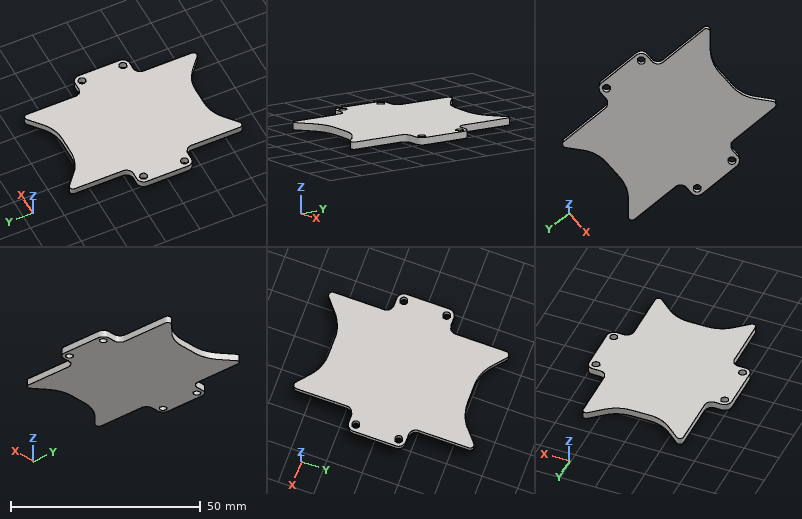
import cadquery as cq
import math

length = 50.6
width = 41.0
thickness = 2.0

body_width = 28.85
tab_length = 16.1
tab_radius = 2.0

floor_spacing = 39.15
slope_angle = math.radians(40.5)
blend_radius = 10.1
tip_radius = 1.0

hole_diameter = 2.0
hole_spacing_x = 36.95
hole_spacing_y = 12.05

half_body = body_width / 2
tip_rise = tip_radius * (1 + math.sin(slope_angle)) / math.cos(slope_angle)
tip_y = length / 2 - tip_radius + tip_rise
floor_y = floor_spacing / 2
floor_half_width = half_body - (tip_y - floor_y) / math.tan(slope_angle)


def round_corners(plate, x, y, radius):
    """Round the four vertical edges at (+-x, +-y)."""
    margin = 0.05
    for sx in (-1, 1):
        for sy in (-1, 1):
            low = (sx * x - margin, sy * y - margin, -margin)
            high = (sx * x + margin, sy * y + margin, thickness + margin)
            plate = plate.edges(cq.selectors.BoxSelector(low, high)).edges("|Z").fillet(radius)
    return plate


def make_body():
    outline = [
        (-half_body, -tip_y),
        (-floor_half_width, -floor_y),
        (floor_half_width, -floor_y),
        (half_body, -tip_y),
        (half_body, tip_y),
        (floor_half_width, floor_y),
        (-floor_half_width, floor_y),
        (-half_body, tip_y),
    ]
    return cq.Workplane("XY").polyline(outline).close().extrude(thickness)


def make_tabs():
    return cq.Workplane("XY").rect(width, tab_length).extrude(thickness)


def make_holes():
    centers = cq.Workplane("XY").rect(hole_spacing_x, hole_spacing_y, forConstruction=True)
    return centers.vertices().circle(hole_diameter / 2).extrude(thickness)


plate = make_body().union(make_tabs())

plate = round_corners(plate, half_body, tip_y, tip_radius)
plate = round_corners(plate, floor_half_width, floor_y, blend_radius)
plate = round_corners(plate, half_body, tab_length / 2, tab_radius)
plate = round_corners(plate, width / 2, tab_length / 2, tab_radius)

result = plate.cut(make_holes())